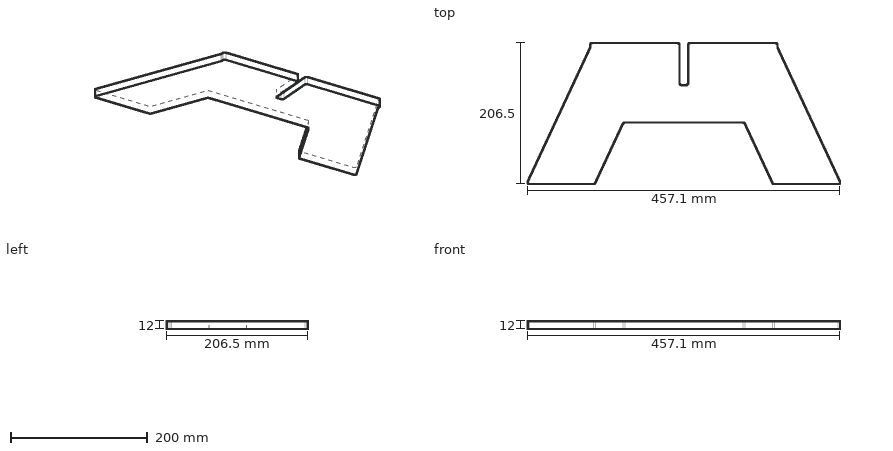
import cadquery as cq
import math

thickness = 12.0
height = 206.5
overall_width = 457.09
corner_radius = 3.0

leg_angle = 25.0
foot_width = 100.0
leg_opening_height = 90.0

shoulder_height = 6.6

slot_width = 12.4
slot_depth = 61.5

lean = math.tan(math.radians(leg_angle))
foot_corner_half_angle = math.radians((90.0 - leg_angle) / 2)
corner_loss = corner_radius * (1 / math.tan(foot_corner_half_angle) - 1)
foot_outer_x = overall_width / 2 + corner_loss
foot_inner_x = foot_outer_x - foot_width
opening_top_x = foot_inner_x - leg_opening_height * lean
shoulder_y = height - shoulder_height
shoulder_x = foot_outer_x - shoulder_y * lean
slot_floor_y = height - slot_depth


def make_plate():
    """Symmetric two-legged plate with a slot in its top edge and rounded corners."""
    right_half = [
        (opening_top_x, leg_opening_height),
        (foot_inner_x, 0),
        (foot_outer_x, 0),
        (shoulder_x, shoulder_y),
        (shoulder_x, height),
        (slot_width / 2, height),
        (slot_width / 2, slot_floor_y),
    ]
    left_half = [(-x, y) for x, y in reversed(right_half)]
    plate = cq.Workplane("XY").polyline(right_half + left_half).close().extrude(thickness)
    return plate.edges("|Z").fillet(corner_radius)


result = make_plate()